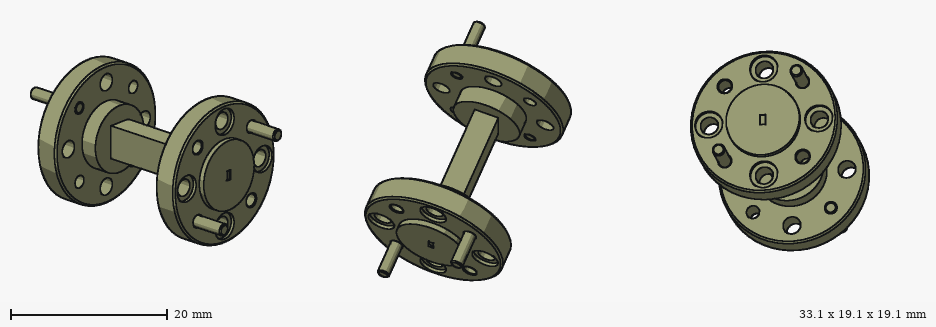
import cadquery as cq
import math

TUBE_HALF_LENGTH = 6.33
HUB_LENGTH = 2.32
FLANGE_THICKNESS = 3.28
BOSS_HEIGHT = 0.75
FLANGE_BACK_X = TUBE_HALF_LENGTH + HUB_LENGTH
FLANGE_FACE_X = FLANGE_BACK_X + FLANGE_THICKNESS
BOSS_FACE_X = FLANGE_FACE_X + BOSS_HEIGHT
OVERALL_LENGTH = 33.15
PIN_TIP_X = OVERALL_LENGTH / 2

TUBE_WIDTH = 3.25
TUBE_HEIGHT = 4.5
PORT_WIDTH = 0.7
PORT_HEIGHT = 1.33
PORT_DEPTH = 0.25

FLANGE_DIAMETER = 19.05
FLANGE_CHAMFER = 0.25
HUB_DIAMETER = 9.15
BOSS_DIAMETER = 9.5

BOLT_CIRCLE_DIAMETER = 14.3
BOLT_CIRCLE_RADIUS = BOLT_CIRCLE_DIAMETER / 2
SCREW_HOLE_DIAMETER = 2.3
COUNTERBORE_DIAMETER = 3.58
COUNTERBORE_DEPTH = 0.5
DOWEL_HOLE_DIAMETER = 1.7
DOWEL_HOLE_CHAMFER = 0.13

PIN_DIAMETER = 1.6
PIN_CHAMFER = 0.15
PIN_HOLE_CHAMFER = 0.1
PIN_LENGTH = PIN_TIP_X - FLANGE_BACK_X

SCREW_ANGLES = (0, 90, 180, 270)
DOWEL_HOLE_ANGLES = (135, 315)
PIN_ANGLES = (45, 225)


def on_bolt_circle(angles):
    """(Y, Z) positions on the bolt circle, with angles measured from +Y toward +Z."""
    return [
        (
            BOLT_CIRCLE_RADIUS * math.cos(math.radians(angle)),
            BOLT_CIRCLE_RADIUS * math.sin(math.radians(angle)),
        )
        for angle in angles
    ]


def rod(start_x, length, diameter, centers=((0, 0),)):
    """Cylinders along +X that start at start_x."""
    plane = cq.Workplane("YZ", origin=(start_x, 0, 0))
    return plane.pushPoints(centers).circle(diameter / 2).extrude(length)


def turned_around(body):
    """The same body carried to the opposite end by a half turn about Z."""
    return body.rotate((0, 0, 0), (0, 0, 1), 180)


def chamfered_holes(diameter, chamfer, angles):
    """Cutter for through holes with a chamfered mouth on the flange face."""
    centers = on_bolt_circle(angles)
    cutter = rod(FLANGE_BACK_X, FLANGE_THICKNESS, diameter, centers)
    for y, z in centers:
        mouth = cq.Solid.makeCone(
            diameter / 2,
            diameter / 2 + chamfer,
            chamfer,
            cq.Vector(FLANGE_FACE_X - chamfer, y, z),
            cq.Vector(1, 0, 0),
        )
        cutter = cutter.union(cq.Workplane(mouth))
    return cutter


def make_flange():
    """Flange at the +X end, with its hub, boss, holes and waveguide port."""
    flange = rod(FLANGE_BACK_X, FLANGE_THICKNESS, FLANGE_DIAMETER).edges().chamfer(FLANGE_CHAMFER)
    flange = flange.union(rod(TUBE_HALF_LENGTH, HUB_LENGTH, HUB_DIAMETER))
    flange = flange.union(rod(FLANGE_FACE_X, BOSS_HEIGHT, BOSS_DIAMETER))

    screw_centers = on_bolt_circle(SCREW_ANGLES)
    flange = flange.cut(rod(FLANGE_BACK_X, FLANGE_THICKNESS, SCREW_HOLE_DIAMETER, screw_centers))
    counterbore_floor_x = FLANGE_FACE_X - COUNTERBORE_DEPTH
    flange = flange.cut(rod(counterbore_floor_x, COUNTERBORE_DEPTH, COUNTERBORE_DIAMETER, screw_centers))

    flange = flange.cut(chamfered_holes(DOWEL_HOLE_DIAMETER, DOWEL_HOLE_CHAMFER, DOWEL_HOLE_ANGLES))
    flange = flange.cut(chamfered_holes(PIN_DIAMETER, PIN_HOLE_CHAMFER, PIN_ANGLES))

    port_plane = cq.Workplane("YZ", origin=(BOSS_FACE_X - PORT_DEPTH, 0, 0))
    return flange.cut(port_plane.rect(PORT_WIDTH, PORT_HEIGHT).extrude(PORT_DEPTH))


def make_waveguide():
    """Rectangular tube joined to a flange at each end."""
    tube = cq.Workplane("XY").box(2 * TUBE_HALF_LENGTH, TUBE_WIDTH, TUBE_HEIGHT)
    flange = make_flange()
    return tube.union(flange).union(turned_around(flange))


def make_pin(center):
    """Dowel pin at the +X end, chamfered at both ends."""
    return rod(FLANGE_BACK_X, PIN_LENGTH, PIN_DIAMETER, [center]).edges("%CIRCLE").chamfer(PIN_CHAMFER)


waveguide = make_waveguide()

pins = []
for pin_center in on_bolt_circle(PIN_ANGLES):
    pin = make_pin(pin_center)
    pins.append(pin.val())
    pins.append(turned_around(pin).val())

result = cq.Compound.makeCompound([waveguide.val(), *pins])